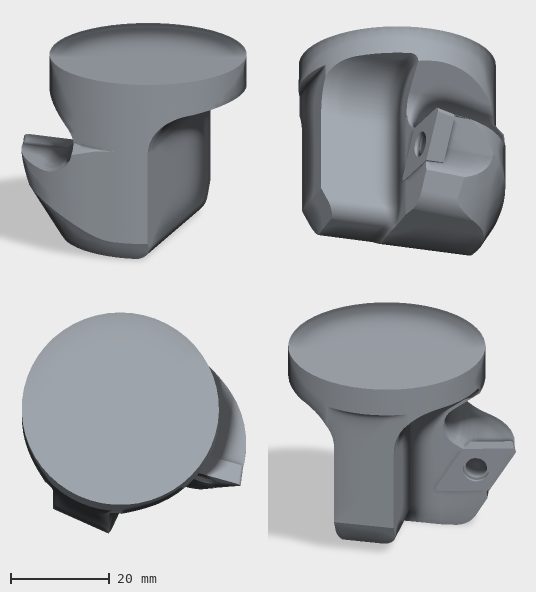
import cadquery as cq
import math

shank_radius = 19.99
total_height = 38.0
head_shift = 6.1
bottom_radius = 17.58
lower_cone_slope = math.tan(math.radians(31))
shoulder_height = 23.35
margin = 28.1

neck_right = 6.8
right_arc_end = (14.55, 30.85)
right_rim_height = 31.5
right_arc_radius = 7.87
right_bottom_round = 3.3

pocket_wall_y = 2.05
pocket_wall_fillet = 1.6
neck_left = -5.62
pocket_roof = 32.2
pocket_arc_radius = 9.1
pocket_bottom = 0.9
pocket_bottom_round = 3.05
back_flat_y = 18.1
back_bevel_height = 5.25
back_bevel_angle = 60.0

frame_angle = 8.0
insert_face_v = 3.9
holder_face_v = 3.65
rake_end_u = -11.25
rake_top = 21.55

lip_end = (-14.05, 26.35)
gullet_lip_angle = 38.5
gullet_deepest = (-11.9, 22.5)
gullet_blend = (-14.6, 18.0)
gullet_low_middle = (-16.85, 16.9)
gullet_floor_end = (-19.1, 16.7)
gullet_floor_angle = 3.4

flank_top = (-25.35, 17.0)
groove_top = (-22.0, 11.45)
groove_middle = (-20.85, 9.2)
groove_bottom = (-20.75, 6.3)
flank_bottom = (-18.45, 2.4)
heel_middle = (-17.05, 0.9)
heel_end = (-14.55, 0.0)

insert_side = 11.55
insert_angle = 55.0
insert_tilt = 3.4
insert_thickness = 4.05
insert_draft = 5.0
insert_nose_radius = 0.75
insert_corner = (-27.25, 18.0)
insert_hole_diameter = 4.4
insert_recess_diameter = 5.25
insert_recess_depth = 0.95


def frame_plane(v):
    """Plane across V, with local X along U and local Y along Z; its normal points to -V."""
    turn = math.radians(frame_angle)
    along_v = (-math.sin(turn), math.cos(turn), 0)
    origin = tuple(v * component for component in along_v)
    normal = tuple(-component for component in along_v)
    return cq.Plane(origin=origin, xDir=(math.cos(turn), math.sin(turn), 0), normal=normal)


def make_blank():
    """Stretched head trimmed by the lower and upper cones, joined to the shank."""
    head = cq.Workplane("XY").circle(shank_radius).extrude(total_height)
    head = head.union(cq.Workplane("XY").center(-head_shift, 0).circle(shank_radius).extrude(total_height))
    head = head.union(
        cq.Workplane("XY")
        .center(-head_shift / 2, 0)
        .rect(head_shift, 2 * shank_radius)
        .extrude(total_height)
    )
    cone_sum = shank_radius + shoulder_height
    meet_height = (cone_sum - bottom_radius) / (1 + lower_cone_slope)
    meet_radius = cone_sum - meet_height
    envelope = (
        cq.Workplane("XZ")
        .polyline([
            (0, 0),
            (bottom_radius, 0),
            (meet_radius, meet_height),
            (shank_radius, shoulder_height),
            (shank_radius, total_height),
            (0, total_height),
        ])
        .close()
        .revolve(360, (0, 0), (0, 1))
    )
    return head.intersect(envelope)


def make_right_cut():
    """Removes the +X side under the shank rim and rounds the bottom edge."""
    arc_start = (neck_right, shoulder_height)
    return (
        cq.Workplane("XZ", origin=(0, margin, 0))
        .moveTo(neck_right - right_bottom_round, 0)
        .radiusArc((neck_right, right_bottom_round), -right_bottom_round)
        .lineTo(*arc_start)
        .radiusArc(right_arc_end, right_arc_radius)
        .lineTo(shank_radius, right_rim_height)
        .lineTo(margin, right_rim_height)
        .lineTo(margin, 0)
        .close()
        .extrude(2 * margin)
    )


def make_pocket():
    """Space on the +Y half in front of and below the neck, with a filleted wall edge."""
    pocket = (
        cq.Workplane("XZ", origin=(0, pocket_wall_y, 0))
        .moveTo(-margin, pocket_roof)
        .lineTo(neck_left - pocket_arc_radius, pocket_roof)
        .radiusArc((neck_left, pocket_roof - pocket_arc_radius), pocket_arc_radius)
        .lineTo(neck_left, pocket_bottom + pocket_bottom_round)
        .radiusArc((neck_left + pocket_bottom_round, pocket_bottom), -pocket_bottom_round)
        .lineTo(margin, pocket_bottom)
        .lineTo(margin, -margin)
        .lineTo(-margin, -margin)
        .close()
        .extrude(-margin)
    )
    return pocket.faces("<Y").edges().fillet(pocket_wall_fillet)


def make_back_cut():
    """Flat on the +Y end of the neck, with a bevel at its foot."""
    bevel_depth = back_bevel_height / math.tan(math.radians(back_bevel_angle))
    bevel_top = pocket_bottom + back_bevel_height
    return (
        cq.Workplane("YZ", origin=(-margin, 0, 0))
        .polyline([
            (back_flat_y, pocket_roof),
            (back_flat_y, bevel_top),
            (back_flat_y - bevel_depth, pocket_bottom),
            (back_flat_y - bevel_depth, 0),
            (margin, 0),
            (margin, pocket_roof),
        ])
        .close()
        .extrude(2 * margin)
    )


def make_rake_cut():
    """Clears the space in front of the holder's rake face."""
    return (
        cq.Workplane(frame_plane(holder_face_v))
        .moveTo(rake_end_u, 0)
        .lineTo(rake_end_u, rake_top)
        .lineTo(-2 * margin, rake_top)
        .lineTo(-2 * margin, 0)
        .close()
        .extrude(-margin)
    )


def make_gullet_cut():
    """Rounded chip gullet running along V."""
    outer_u = -2 * margin
    lip_rise = (lip_end[0] - outer_u) * math.tan(math.radians(gullet_lip_angle))
    floor_rise = (gullet_floor_end[0] - outer_u) * math.tan(math.radians(gullet_floor_angle))
    return (
        cq.Workplane(frame_plane(margin))
        .moveTo(outer_u, lip_end[1] + lip_rise)
        .lineTo(*lip_end)
        .threePointArc(gullet_deepest, gullet_blend)
        .threePointArc(gullet_low_middle, gullet_floor_end)
        .lineTo(outer_u, gullet_floor_end[1] + floor_rise)
        .close()
        .extrude(2 * margin)
    )


def make_flank_cut():
    """Relief below the cutting edge: upper flank, groove, lower flank and rounded heel."""
    return (
        cq.Workplane(frame_plane(margin))
        .moveTo(*flank_top)
        .lineTo(*groove_top)
        .threePointArc(groove_middle, groove_bottom)
        .lineTo(*flank_bottom)
        .threePointArc(heel_middle, heel_end)
        .lineTo(-2 * margin, 0)
        .lineTo(-2 * margin, flank_top[1])
        .close()
        .extrude(2 * margin)
    )


def make_insert_block():
    """Drafted rhombus with rounded acute corners, before its hole is made."""
    top_angle = math.radians(-insert_tilt)
    flank_angle = math.radians(-insert_tilt - insert_angle)
    top_step = (insert_side * math.cos(top_angle), insert_side * math.sin(top_angle))
    flank_step = (insert_side * math.cos(flank_angle), insert_side * math.sin(flank_angle))
    u, z = insert_corner
    corners = [
        (u, z),
        (u + top_step[0], z + top_step[1]),
        (u + top_step[0] + flank_step[0], z + top_step[1] + flank_step[1]),
        (u + flank_step[0], z + flank_step[1]),
    ]
    block = (
        cq.Workplane(frame_plane(insert_face_v))
        .polyline(corners)
        .close()
        .extrude(insert_thickness, taper=insert_draft)
    )
    tip, opposite = corners[0], corners[2]
    acute_edges = [
        block.edges(cq.selectors.NearestToPointSelector(edge_middle(*ends))).val()
        for ends in ((tip, opposite), (opposite, tip))
    ]
    return block.newObject(acute_edges).fillet(insert_nose_radius), corners


def edge_middle(corner, opposite):
    """Middle of the drafted edge at an acute corner, which leans towards the opposite corner."""
    length = math.dist(corner, opposite)
    side_inset = insert_thickness / 2 * math.tan(math.radians(insert_draft))
    inset = side_inset / math.sin(math.radians(insert_angle / 2))
    u = corner[0] + (opposite[0] - corner[0]) * inset / length
    z = corner[1] + (opposite[1] - corner[1]) * inset / length
    return frame_plane(insert_face_v).toWorldCoords((u, z, insert_thickness / 2)).toTuple()


def make_insert_hole(corners):
    """Stepped screw hole through the middle of the insert."""
    middle_u = (corners[0][0] + corners[2][0]) / 2
    middle_z = (corners[0][1] + corners[2][1]) / 2
    face = cq.Workplane(frame_plane(insert_face_v)).center(middle_u, middle_z)
    hole = face.circle(insert_hole_diameter / 2).extrude(insert_thickness)
    return hole.union(face.circle(insert_recess_diameter / 2).extrude(insert_recess_depth))


insert_block, insert_corners = make_insert_block()
insert = insert_block.cut(make_insert_hole(insert_corners))

holder = make_blank()
for cutter in (
    make_right_cut(),
    make_pocket(),
    make_back_cut(),
    make_rake_cut(),
    make_gullet_cut(),
    make_flank_cut(),
    insert_block,
):
    holder = holder.cut(cutter)

result = cq.Compound.makeCompound([holder.val(), insert.val()])